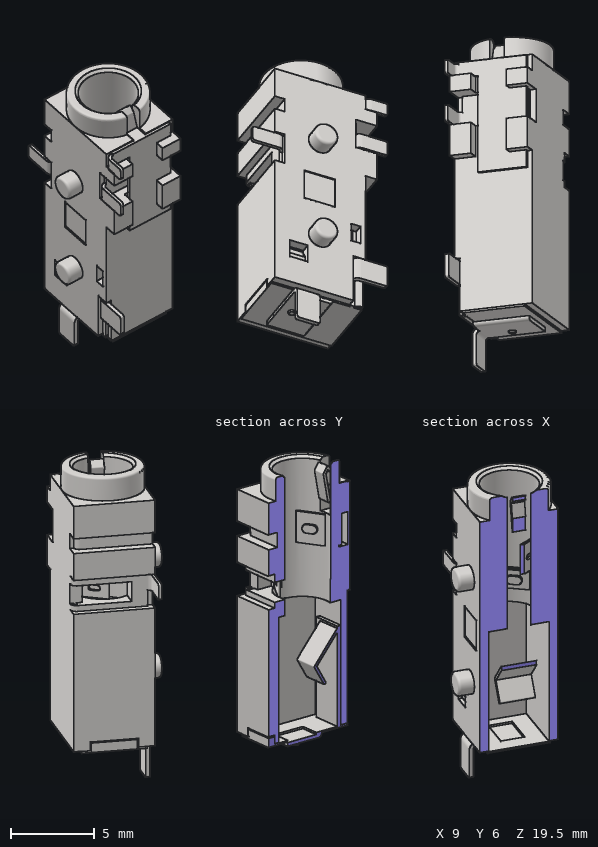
import cadquery as cq
import math

HALF_DEPTH = 2.5
FRONT = -HALF_DEPTH
LEFT_FACE = -3.0
RIGHT_FACE = 3.05
BLOCK_TOP = 15.5
BARREL_TOP = 17.0
BARREL_RADIUS = 2.5
BORE_RADIUS = 1.8
RIM_ROUND = 0.18

CAVITY_TOP = 8.0
CAVITY_LEFT = -2.2
CAVITY_HALF_DEPTH = 1.9

RIB_FACE = 3.83
RIB_INNER_Y = 1.13
RIB_LEVELS = [(13.5, 14.5), (9.52, 11.44)]

LEFT_NOTCH_FLOOR = -2.34
UPPER_NOTCH = (12.52, 13.45)
LOWER_NOTCH = (8.69, 10.82)
UPPER_NOTCH_ROUND = 0.32
REAR_STEP_X = LEFT_NOTCH_FLOOR + UPPER_NOTCH_ROUND
UPPER_NOTCH_REAR = 1.93
RIGHT_NOTCH_FLOOR = 2.41
RIGHT_NOTCH = (11.44, 13.5)

PEG_RADIUS = 0.75
PEG_LENGTH = 1.0
PEG_LEVELS = [4.0, 11.0]

MARK_SIZE = 2.05
MARK_LEVEL = 7.57
MARK_DEPTH = 0.08

LATCH_WINDOW = (-2.0, -0.8, 1.87, 3.08)
SLIT_WINDOW = (2.09, 2.72, 4.4, 5.66)

SHEET = 0.2
SOLDER_FACE = -2.55
TAB_REACH = 4.5
TAB_ROUND = 0.15
INNER_BEND = 0.2

LEFT_TAB = (9.69, 10.69)
MIDDLE_TAB = (11.5, 12.51)
TOP_TAB = (14.48, 15.33)
BLADE_BACK = 2.12
REAR_BEND = HALF_DEPTH - BLADE_BACK
BLADE_FRONT = -2.15
BLADE_WINDOW_FRONT = -1.17
BLADE_WINDOW = (9.06, 10.3)
WINDOW_BACK = 1.75
WINDOW_DEEP_X = -1.0

SLEEVE_TOP = 15.45
SLEEVE_BACK = 2.2
SLEEVE_FRONT = -0.9
SLEEVE_BOTTOM = 8.48
SLEEVE_SLOT_WIDTH = 0.94
SLEEVE_SPRING_WIDTH = 0.84
SLEEVE_SLOT_FLOOR = 13.6
SLEEVE_SLOT_INNER = 1.2
SLEEVE_SPRING_LEVEL = SLEEVE_TOP - SHEET / 2
SLEEVE_SPRING_PATH = [
    (RIGHT_FACE + SHEET / 2, SLEEVE_SPRING_LEVEL),
    (2.2, SLEEVE_SPRING_LEVEL),
    (1.85, 16.4),
    (1.6, 16.65),
    (1.36, 16.3),
    (1.7, 14.5),
]

LEAF_THICKNESS = 0.15
LEAF_ENDS = [(1.72, 0.08), (0.84, 1.55)]
BUMP_LENGTH = 0.95
BUMP_WIDTH = 0.55
BUMP_HEIGHT = 0.15
BUMP_WALL = 0.1

COVER_SHEET = 0.27
PLATE_THICKNESS = 0.13
PLATE_HALF_DEPTH = 2.0
ARM_THICKNESS = 0.48
ARM_HALF_WIDTH = 1.41
ARM_TOP = 0.48
ARM_GAP = 0.07
TIP_BLADE_X = 2.24
TIP_BLADE_TOP = 6.4
TIP_BLADE_BACK = 1.5
TIP_TAB = (1.76, 3.24)
TIP_SPRING_WIDTH = 2.25
TIP_SPRING_PATH = [
    (TIP_BLADE_X + COVER_SHEET / 2, TIP_BLADE_TOP - COVER_SHEET / 2),
    (0.6, 4.2),
    (1.3, 3.0),
]
TIP_CUTOUT_TOP = 3.3
TIP_CUTOUT_DEPTH = 0.36
TIP_WALL_ROUND = 0.38
PLATE_OPENING_X = (-1.53, 0.63)
PLATE_OPENING_Y = (-0.78, 0.75)
STRAP_LEFT = PLATE_OPENING_X[0]
STRAP_RIGHT = 1.09
STRAP_BACK = 1.53
STRAP_ROUND = 0.25
TAIL_RIGHT = 0.0
TAIL_END = -2.5
DIMPLE_CENTER = (-0.75, -0.27)
DIMPLE_RADIUS = 0.24
DIMPLE_HEIGHT = 0.1
DIMPLE_TAPER = 30

LATCH_SIDE_GAP = 0.06
LATCH_BOTTOM_GAP = 0.1
LATCH_TOP_GAP = 0.13
LATCH_SHOULDER = 0.43
LATCH_REACH = 0.4
LATCH_BACK = -1.1


def block(x_range, y_range, z_range):
    """Axis-aligned box given by its limits on each axis."""
    sizes = [high - low for low, high in (x_range, y_range, z_range)]
    corner = (x_range[0], y_range[0], z_range[0])
    return cq.Workplane("XY").box(*sizes, centered=False).translate(corner)


def upright_rod(center, radius, levels):
    """Vertical cylinder between two levels."""
    return cq.Workplane("XY", origin=(*center, levels[0])).circle(radius).extrude(levels[1] - levels[0])


def bent_strip(plane, leg_u, leg_top, foot_reach, sheet, width):
    """Sheet strip: a leg along the plane's second axis, bent into a foot along the first."""
    outer_bend = INNER_BEND + sheet
    center_u = leg_u + outer_bend
    center_v = SOLDER_FACE + outer_bend
    diagonal = math.sqrt(0.5)
    outer_mid = (center_u - outer_bend * diagonal, center_v - outer_bend * diagonal)
    inner_mid = (center_u - INNER_BEND * diagonal, center_v - INNER_BEND * diagonal)
    return (
        cq.Workplane(plane)
        .moveTo(leg_u, leg_top)
        .lineTo(leg_u, center_v)
        .threePointArc(outer_mid, (center_u, SOLDER_FACE))
        .lineTo(foot_reach, SOLDER_FACE)
        .lineTo(foot_reach, SOLDER_FACE + sheet)
        .lineTo(center_u, SOLDER_FACE + sheet)
        .threePointArc(inner_mid, (leg_u + sheet, center_v))
        .lineTo(leg_u + sheet, leg_top)
        .close()
        .extrude(width)
    )


def solder_tab(blade_x, levels, sheet):
    """Tab on a blade's front edge, bent to the right, with a rounded tip."""
    plane = cq.Plane(origin=(0, 0, levels[0]))
    leg_top = SOLDER_FACE + INNER_BEND + 2 * sheet
    tab = bent_strip(plane, blade_x, leg_top, TAB_REACH, sheet, levels[1] - levels[0])
    return tab.faces(">X").edges("|Y").fillet(TAB_ROUND)


def spring_strip(workplane, points, thickness, width):
    """Flat spring through the given points, with round bends and ends; centred on the workplane."""
    spring = workplane.pushPoints(points).circle(thickness / 2).extrude(width / 2, both=True)
    for (u1, v1), (u2, v2) in zip(points, points[1:]):
        length = math.hypot(u2 - u1, v2 - v1)
        angle = math.degrees(math.atan2(v2 - v1, u2 - u1))
        straight = (
            workplane.center((u1 + u2) / 2, (v1 + v2) / 2)
            .transformed(rotate=(0, 0, angle))
            .rect(length, thickness)
            .extrude(width / 2, both=True)
        )
        spring = spring.union(straight)
    return spring


def bore_leaf(levels):
    """Slanted leaf across the right rear of the bore, with a pressed-in bump towards the plug."""
    middle_level = sum(levels) / 2
    middle = cq.Workplane("XY", origin=(0, 0, middle_level))
    leaf = spring_strip(middle, LEAF_ENDS, LEAF_THICKNESS, levels[1] - levels[0])
    (x1, y1), (x2, y2) = LEAF_ENDS
    center = ((x1 + x2) / 2, (y1 + y2) / 2, middle_level)
    bump_plane = cq.Plane(origin=center, xDir=(x2 - x1, y2 - y1, 0), normal=(y1 - y2, x2 - x1, 0))
    bump_start = cq.Workplane(bump_plane).workplane(offset=-LEAF_THICKNESS / 2)
    bump = bump_start.slot2D(BUMP_LENGTH, BUMP_WIDTH).extrude(LEAF_THICKNESS + BUMP_HEIGHT)
    hollow = bump_start.slot2D(BUMP_LENGTH - 2 * BUMP_WALL, BUMP_WIDTH - 2 * BUMP_WALL).extrude(
        LEAF_THICKNESS + BUMP_HEIGHT - BUMP_WALL
    )
    return leaf.union(bump).cut(hollow)


def front_window(limits):
    left, right, bottom, top = limits
    return block((left, right), (FRONT, -CAVITY_HALF_DEPTH), (bottom, top))


def housing_shell():
    depth = (-HALF_DEPTH, HALF_DEPTH)
    shell = block((LEFT_FACE, RIGHT_FACE), depth, (0, BLOCK_TOP))
    for levels in RIB_LEVELS:
        for rib_depth in [(FRONT, -RIB_INNER_Y), (RIB_INNER_Y, HALF_DEPTH)]:
            shell = shell.union(block((RIGHT_FACE, RIB_FACE), rib_depth, levels))

    barrel = (
        cq.Workplane("XY", origin=(0, 0, BLOCK_TOP))
        .circle(BARREL_RADIUS)
        .extrude(BARREL_TOP - BLOCK_TOP)
        .faces(">Z")
        .edges()
        .fillet(RIM_ROUND)
    )
    shell = shell.union(barrel)

    bore = cq.Workplane("XY").circle(BORE_RADIUS).extrude(BARREL_TOP)
    mouth = (
        cq.Workplane("XY", origin=(0, 0, BARREL_TOP - RIM_ROUND))
        .circle(BORE_RADIUS)
        .workplane(offset=RIM_ROUND)
        .circle(BORE_RADIUS + RIM_ROUND)
        .loft()
    )
    cavity = block(
        (CAVITY_LEFT, TIP_BLADE_X + COVER_SHEET),
        (-CAVITY_HALF_DEPTH, CAVITY_HALF_DEPTH),
        (0, CAVITY_TOP),
    )
    shell = shell.cut(bore).cut(mouth).cut(cavity)

    for levels in [UPPER_NOTCH, LOWER_NOTCH]:
        shell = shell.cut(block((LEFT_FACE, LEFT_NOTCH_FLOOR), depth, levels))
    shell = shell.cut(block((RIGHT_NOTCH_FLOOR, RIB_FACE), depth, RIGHT_NOTCH))

    step = block((LEFT_NOTCH_FLOOR, REAR_STEP_X), (UPPER_NOTCH_REAR, HALF_DEPTH), UPPER_NOTCH)
    shell = shell.cut(step.cut(upright_rod((REAR_STEP_X, UPPER_NOTCH_REAR), UPPER_NOTCH_ROUND, UPPER_NOTCH)))

    shell = shell.cut(block((LEFT_NOTCH_FLOOR, REAR_STEP_X), (BLADE_BACK, HALF_DEPTH), LOWER_NOTCH))

    slot_depth = (-SLEEVE_SLOT_WIDTH / 2, SLEEVE_SLOT_WIDTH / 2)
    shell = shell.cut(block((SLEEVE_SLOT_INNER, RIGHT_FACE), slot_depth, (SLEEVE_SLOT_FLOOR, BARREL_TOP)))

    shell = shell.cut(
        block((LEFT_NOTCH_FLOOR, WINDOW_DEEP_X), (BLADE_WINDOW_FRONT, WINDOW_BACK), BLADE_WINDOW)
    )
    shell = shell.cut(block((LEFT_NOTCH_FLOOR, REAR_STEP_X), (WINDOW_BACK, HALF_DEPTH), BLADE_WINDOW))

    for limits in [LATCH_WINDOW, SLIT_WINDOW]:
        shell = shell.cut(front_window(limits))

    mark = cq.Workplane("XY").box(MARK_SIZE, 2 * MARK_DEPTH, MARK_SIZE).translate((0, FRONT, MARK_LEVEL))
    shell = shell.cut(mark)

    arm_half_room = ARM_HALF_WIDTH + ARM_GAP
    arm_room_depth = (-arm_half_room, arm_half_room)
    shell = shell.cut(block((LEFT_FACE, LEFT_FACE + ARM_THICKNESS), arm_room_depth, (0, ARM_TOP + ARM_GAP)))
    shell = shell.cut(
        block((TIP_BLADE_X, RIGHT_FACE), (FRONT, FRONT + TIP_CUTOUT_DEPTH), (0, TIP_CUTOUT_TOP))
    )
    blade_slot_depth = (FRONT + TIP_CUTOUT_DEPTH, -CAVITY_HALF_DEPTH)
    shell = shell.cut(
        block((TIP_BLADE_X, TIP_BLADE_X + COVER_SHEET), blade_slot_depth, (0, TIP_CUTOUT_TOP))
    )

    wall_edge = (TIP_BLADE_X + COVER_SHEET, FRONT + TIP_CUTOUT_DEPTH)
    round_center = (wall_edge[0] + TIP_WALL_ROUND, wall_edge[1] + TIP_WALL_ROUND)
    levels = (0, TIP_CUTOUT_TOP)
    corner = block((wall_edge[0], round_center[0]), (wall_edge[1], round_center[1]), levels)
    shell = shell.cut(corner.cut(upright_rod(round_center, TIP_WALL_ROUND, levels)))

    for level in PEG_LEVELS:
        peg = (
            cq.Workplane("XZ", origin=(0, FRONT, level))
            .circle(PEG_RADIUS)
            .extrude(PEG_LENGTH)
            .faces("<Y")
            .edges()
            .fillet(RIM_ROUND)
        )
        shell = shell.union(peg)
    return shell


def left_contact():
    outer_face = LEFT_NOTCH_FLOOR - SHEET
    blade = block((outer_face, LEFT_NOTCH_FLOOR), (BLADE_FRONT, HALF_DEPTH), LOWER_NOTCH)
    rear_lip = block((outer_face, REAR_STEP_X), (HALF_DEPTH - SHEET, HALF_DEPTH), LOWER_NOTCH)
    blade = blade.union(rear_lip).edges("|Z and <X and >Y").fillet(REAR_BEND)
    window = block((outer_face, REAR_STEP_X), (BLADE_WINDOW_FRONT, HALF_DEPTH), BLADE_WINDOW)
    blade = blade.cut(window)
    tab = solder_tab(-LEFT_NOTCH_FLOOR, LEFT_TAB, SHEET).mirror("YZ")
    leaf = bore_leaf(BLADE_WINDOW).mirror("YZ")
    return blade.union(tab).union(leaf)


def middle_contact():
    levels = (MIDDLE_TAB[0], RIGHT_NOTCH[1])
    blade = block((RIGHT_NOTCH_FLOOR, RIGHT_NOTCH_FLOOR + SHEET), (BLADE_FRONT, BLADE_BACK), levels)
    tab = solder_tab(RIGHT_NOTCH_FLOOR, MIDDLE_TAB, SHEET)
    return blade.union(tab).union(bore_leaf(levels))


def sleeve_contact():
    blade_x = (RIGHT_FACE, RIGHT_FACE + SHEET)
    blade = block(blade_x, (SLEEVE_FRONT, SLEEVE_BACK), (SLEEVE_BOTTOM, SLEEVE_TOP))
    tab_arm = block(blade_x, (BLADE_FRONT, SLEEVE_FRONT), (TOP_TAB[0], SLEEVE_TOP))
    tab = solder_tab(RIGHT_FACE, TOP_TAB, SHEET)
    spring = spring_strip(cq.Workplane("XZ"), SLEEVE_SPRING_PATH, SHEET, SLEEVE_SPRING_WIDTH)
    return blade.union(tab_arm).union(tab).union(spring)


def latch():
    """Upright on the cover plate whose wedge snaps into the front window."""
    left, right, bottom, top = LATCH_WINDOW
    wedge_bottom = bottom + LATCH_BOTTOM_GAP
    wedge_shoulder = bottom + LATCH_SHOULDER
    wedge_top = top - LATCH_TOP_GAP
    wedge_face = -CAVITY_HALF_DEPTH - LATCH_REACH
    return (
        cq.Workplane("YZ", origin=(left + LATCH_SIDE_GAP, 0, 0))
        .moveTo(LATCH_BACK, -PLATE_THICKNESS)
        .lineTo(-CAVITY_HALF_DEPTH, -PLATE_THICKNESS)
        .lineTo(-CAVITY_HALF_DEPTH, wedge_bottom)
        .lineTo(wedge_face, wedge_bottom)
        .lineTo(wedge_face, wedge_shoulder)
        .lineTo(-CAVITY_HALF_DEPTH, wedge_top)
        .lineTo(LATCH_BACK, wedge_top)
        .close()
        .extrude(right - left - 2 * LATCH_SIDE_GAP)
    )


def rear_cover():
    plate_depth = (-PLATE_HALF_DEPTH, PLATE_HALF_DEPTH)
    cover = block((LEFT_FACE, RIGHT_FACE), plate_depth, (-PLATE_THICKNESS, 0))
    arm_depth = (-ARM_HALF_WIDTH, ARM_HALF_WIDTH)
    cover = cover.union(
        block((LEFT_FACE, LEFT_FACE + ARM_THICKNESS), arm_depth, (-PLATE_THICKNESS, ARM_TOP))
    )
    cover = cover.cut(block(PLATE_OPENING_X, PLATE_OPENING_Y, (-PLATE_THICKNESS, 0)))
    cover = cover.union(latch())

    blade_x = (TIP_BLADE_X, TIP_BLADE_X + COVER_SHEET)
    blade_front = FRONT + TIP_CUTOUT_DEPTH
    lower_blade = block(blade_x, (blade_front, TIP_BLADE_BACK), (-PLATE_THICKNESS, TIP_TAB[1]))
    upper_blade = block(blade_x, (-TIP_BLADE_BACK, TIP_BLADE_BACK), (TIP_TAB[1], TIP_BLADE_TOP))
    spring = spring_strip(cq.Workplane("XZ"), TIP_SPRING_PATH, SHEET, TIP_SPRING_WIDTH)
    tab = solder_tab(TIP_BLADE_X, TIP_TAB, COVER_SHEET)
    cover = cover.union(lower_blade).union(upper_blade).union(spring).union(tab)

    strap_levels = (-PLATE_THICKNESS - COVER_SHEET, -PLATE_THICKNESS)
    strap_front = SOLDER_FACE + COVER_SHEET + INNER_BEND
    strap = block((STRAP_LEFT, STRAP_RIGHT), (strap_front, STRAP_BACK), strap_levels)
    strap = strap.edges("|Y and >X and <Z").fillet(STRAP_ROUND)
    tail_plane = cq.Plane(origin=(STRAP_LEFT, 0, 0), xDir=(0, 0, -1), normal=(1, 0, 0))
    tail = bent_strip(
        tail_plane, PLATE_THICKNESS, STRAP_BACK, -TAIL_END, COVER_SHEET, TAIL_RIGHT - STRAP_LEFT
    )
    tail = tail.faces("<Z").edges("|Y").fillet(TAB_ROUND)
    dimple = (
        cq.Workplane("XY", origin=(*DIMPLE_CENTER, strap_levels[0]))
        .circle(DIMPLE_RADIUS)
        .extrude(-DIMPLE_HEIGHT, taper=DIMPLE_TAPER)
    )
    return cover.union(strap).union(tail).union(dimple)


housing = housing_shell().union(left_contact()).union(middle_contact()).union(sleeve_contact())
cover = rear_cover()

result = cq.Compound.makeCompound([*housing.solids().vals(), *cover.solids().vals()])